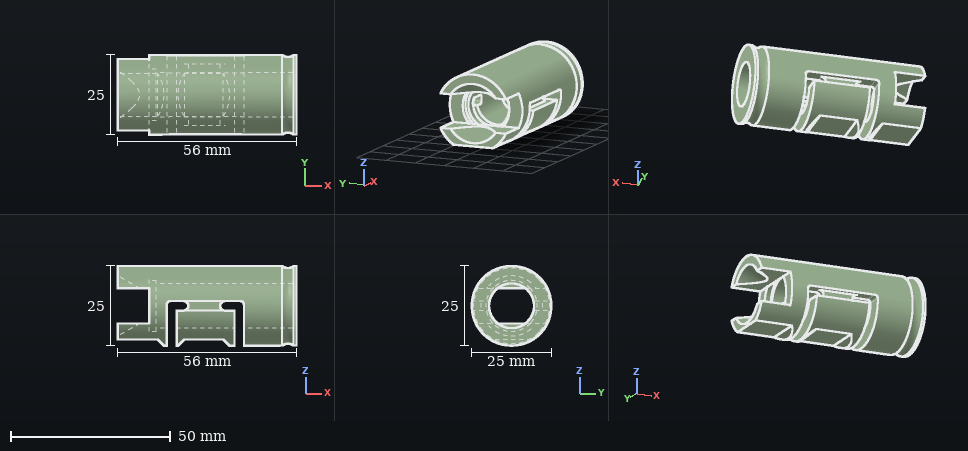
import cadquery as cq
import math

length = 56.0
outer_diameter = 25.0
outer_radius = outer_diameter / 2

end_slot_depth = 9.9
end_slot_height = 11.0
cone_mouth_radius = 9.45
cone_half_angle = 30.0

entry_bore_diameter = 16.0
entry_bore_end = 12.0
main_bore_diameter = 14.0

cut_start = 15.45
cut_end = 39.5
cut_height = 2.9
cut_corner_radius = 1.0
block_start = 18.5
block_end = 36.6

web_start = 22.1
web_end = 32.1
web_width = 19.25

flat_level = -10.5
flat_depth = outer_radius + flat_level
end_flat_length = 12.55
block_flat_start = 20.9
block_flat_end = 33.05

groove_start = 51.5
groove_end = 55.1
groove_depth = 0.6


def x_cylinder(diameter, start, end):
    return cq.Workplane("YZ", origin=(start, 0, 0)).circle(diameter / 2).extrude(end - start)


def box_between(x_range, z_range, width):
    """Box centred on Y between the given X and Z limits."""
    x_min, x_max = x_range
    z_min, z_max = z_range
    box = cq.Workplane("XY").box(x_max - x_min, width, z_max - z_min, centered=(False, True, False))
    return box.translate((x_min, 0, z_min))


def across_body(outline):
    """Extrude a closed XZ outline through the full width of the body."""
    return outline.extrude(outer_radius, both=True)


def end_slot():
    half_height = end_slot_height / 2
    return box_between((0, end_slot_depth), (-half_height, half_height), outer_diameter)


def end_cone():
    cone_length = cone_mouth_radius / math.tan(math.radians(cone_half_angle))
    floor_radius = cone_mouth_radius * (1 - end_slot_depth / cone_length)
    outline = cq.Workplane("XY").polyline(
        [(0, 0), (0, cone_mouth_radius), (end_slot_depth, floor_radius), (end_slot_depth, 0)]
    ).close()
    return outline.revolve(360, (0, 0, 0), (1, 0, 0))


def bore():
    entry = x_cylinder(entry_bore_diameter, end_slot_depth, entry_bore_end)
    return entry.union(x_cylinder(main_bore_diameter, end_slot_depth, length))


def cross_cut():
    half_height = cut_height / 2
    window = box_between((cut_start, cut_end), (-outer_radius, half_height), outer_diameter)
    window = window.edges("|Y and >Z").fillet(cut_corner_radius)
    block = box_between((block_start, block_end), (-outer_radius, -half_height), outer_diameter)
    return window.cut(block).cut(web())


def web():
    """Neck under the body whose two ends are hollowed by half rounds."""
    half_height = cut_height / 2
    neck = (
        cq.Workplane("XZ")
        .moveTo(web_start - half_height, half_height)
        .lineTo(web_end + half_height, half_height)
        .threePointArc((web_end, 0), (web_end + half_height, -half_height))
        .lineTo(web_start - half_height, -half_height)
        .threePointArc((web_start, 0), (web_start - half_height, half_height))
        .close()
    )
    return neck.extrude(web_width / 2, both=True)


def end_flat():
    return across_body(
        cq.Workplane("XZ").polyline([
            (0, flat_level),
            (end_flat_length, flat_level),
            (end_flat_length + flat_depth, -outer_radius),
            (0, -outer_radius),
        ]).close()
    )


def block_flat():
    return across_body(
        cq.Workplane("XZ").polyline([
            (block_flat_start, flat_level),
            (block_flat_end, flat_level),
            (block_flat_end + flat_depth, -outer_radius),
            (block_flat_start - flat_depth, -outer_radius),
        ]).close()
    )


def rim_groove():
    groove_middle = (groove_start + groove_end) / 2
    outline = (
        cq.Workplane("XY")
        .moveTo(groove_start, outer_radius)
        .threePointArc((groove_middle, outer_radius - groove_depth), (groove_end, outer_radius))
        .close()
    )
    return outline.revolve(360, (0, 0, 0), (1, 0, 0))


result = x_cylinder(outer_diameter, 0, length)
for removed in (end_slot(), end_cone(), bore(), cross_cut(), end_flat(), block_flat(), rim_groove()):
    result = result.cut(removed)